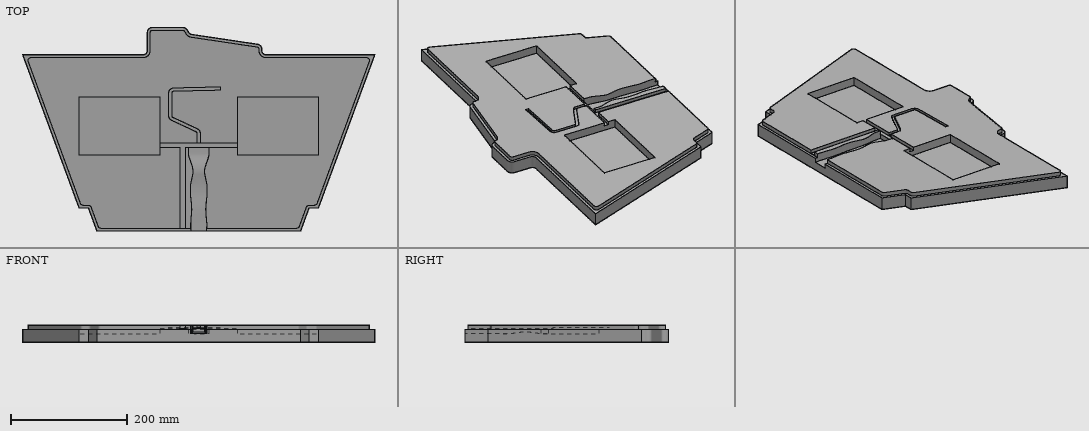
import cadquery as cq
import math

TRAY_WIDTH = 605.0
TRAY_DEPTH = 350.0
TRAY_HEIGHT = 29.5
SHOULDER_Y = 303.0
FRONT_HALF_WIDTH = 175.0
NOTCH_Y = 39.5
SIDE_ANGLE = 20.2

BUMP_LEFT_X = -88.5
BUMP_RIGHT_X = 108.5
BUMP_CREST_X = -22.5
BUMP_DIP = (-15.5, 338.5)
BUMP_RIGHT_Y = 320.0
BUMP_OUTER_RADIUS = 9.0
BUMP_INNER_RADIUS = 7.0

LIP_INSET = 5.0
LIP_HEIGHT = 7.0
LEDGE_Z = TRAY_HEIGHT - LIP_HEIGHT
DECK_CORNER_RADIUS = 5.0
ROW_TOLERANCE = 0.1

POCKET_WIDTH = 139.0
POCKET_LENGTH = 100.0
POCKET_DEPTH = 15.0
POCKET_INNER_X = 66.5
POCKET_FRONT_Y = 130.5

CHANNEL_DEPTH = 6.0
CROSSBAR_FRONT_Y = 143.5
CROSSBAR_WIDTH = 7.5
STEM_CENTRE_X = -27.5
STEM_WIDTH = 9.5

GROOVE_WIDTH = 5.5
GROOVE_DEPTH = 4.0
GROOVE_LEFT_X = -49.0
GROOVE_TIP = (37.5, 245.0)
GROOVE_CORNER_Y = 243.0
GROOVE_ELBOW_Y = 194.5
GROOVE_SLOPE_ANGLE = 25.0
GROOVE_BEND_RADIUS = 6.0

SLOT_DEPTH = 14.5
SLOT_SIDE_MARGIN = 5.0
SLOT_STATIONS = [
    (CROSSBAR_FRONT_Y, 17.5, 0.0),
    (130.5, 17.4, 0.0),
    (105.0, 10.0, 3.0),
    (82.0, 13.7, 0.4),
    (57.0, 13.7, 0.0),
    (36.0, 12.0, 0.6),
    (16.0, 13.7, 0.0),
    (0.0, 13.7, 0.0),
]


def block(x_min, x_max, y_min, y_max, floor_z):
    """Cutting block from floor_z up to the top of the tray."""
    size = (x_max - x_min, y_max - y_min, TRAY_HEIGHT - floor_z)
    return cq.Workplane("XY").box(*size, centered=False).translate((x_min, y_min, floor_z))


def round_corners(wire, corners, radius):
    """Round the vertices of a flat wire that lie on the given points."""
    picked = []
    for x, y in corners:
        spot = cq.Vector(x, y, 0)
        picked.append(min(wire.Vertices(), key=lambda v: (v.Center() - spot).Length))
    return wire.fillet2D(radius, picked)


def tray_outline():
    """Closed outline of the tray with the rear bump rounded."""
    lean = math.tan(math.radians(SIDE_ANGLE))
    notch_inner_x = FRONT_HALF_WIDTH + NOTCH_Y * lean
    notch_outer_x = TRAY_WIDTH / 2 - (SHOULDER_Y - NOTCH_Y) * lean
    right_side = [
        (FRONT_HALF_WIDTH, 0),
        (notch_inner_x, NOTCH_Y),
        (notch_outer_x, NOTCH_Y),
        (TRAY_WIDTH / 2, SHOULDER_Y),
    ]
    left_side = [(-x, y) for x, y in reversed(right_side)]
    outer_corners = [
        (BUMP_RIGHT_X, BUMP_RIGHT_Y),
        (BUMP_CREST_X, TRAY_DEPTH),
        (BUMP_LEFT_X, TRAY_DEPTH),
    ]
    inner_corners = [(BUMP_RIGHT_X, SHOULDER_Y), BUMP_DIP, (BUMP_LEFT_X, SHOULDER_Y)]
    bump = [inner_corners[0], outer_corners[0], inner_corners[1]]
    bump += [outer_corners[1], outer_corners[2], inner_corners[2]]

    wire = cq.Workplane("XY").polyline(right_side + bump + left_side).close().val()
    wire = round_corners(wire, outer_corners, BUMP_OUTER_RADIUS)
    return round_corners(wire, inner_corners, BUMP_INNER_RADIUS)


def round_deck_corner(deck, y, outermost):
    """Round the outermost upright deck edge at the given Y."""
    row = cq.selectors.BoxSelector(
        (-TRAY_WIDTH, y - ROW_TOLERANCE, 0),
        (TRAY_WIDTH, y + ROW_TOLERANCE, LIP_HEIGHT),
    )
    return deck.edges("|Z").edges(row).edges(outermost).fillet(DECK_CORNER_RADIUS)


def make_tray():
    """Base plate with the inset deck standing on it."""
    outline = tray_outline()
    base = cq.Workplane("XY").add(outline).toPending().extrude(LEDGE_Z)
    deck = cq.Workplane("XY").add(outline).toPending().offset2D(-LIP_INSET).extrude(LIP_HEIGHT)
    for y in (LIP_INSET, NOTCH_Y + LIP_INSET, SHOULDER_Y - LIP_INSET):
        for outermost in ("<X", ">X"):
            deck = round_deck_corner(deck, y, outermost)
    return base.union(deck.translate((0, 0, LEDGE_Z)))


def make_pockets():
    floor_z = TRAY_HEIGHT - POCKET_DEPTH
    right = block(
        POCKET_INNER_X,
        POCKET_INNER_X + POCKET_WIDTH,
        POCKET_FRONT_Y,
        POCKET_FRONT_Y + POCKET_LENGTH,
        floor_z,
    )
    return right.union(right.mirror("YZ"))


def make_channel():
    floor_z = TRAY_HEIGHT - CHANNEL_DEPTH
    crossbar_rear_y = CROSSBAR_FRONT_Y + CROSSBAR_WIDTH
    crossbar = block(-POCKET_INNER_X, POCKET_INNER_X, CROSSBAR_FRONT_Y, crossbar_rear_y, floor_z)
    stem_left_x = STEM_CENTRE_X - STEM_WIDTH / 2
    stem = block(stem_left_x, stem_left_x + STEM_WIDTH, 0, crossbar_rear_y, floor_z)
    return crossbar.union(stem)


def make_groove():
    """Square-bottomed groove swept from the channel crossbar round to its tip."""
    slope_rise = -GROOVE_LEFT_X * math.tan(math.radians(GROOVE_SLOPE_ANGLE))
    bends = [
        (0, GROOVE_ELBOW_Y - slope_rise),
        (GROOVE_LEFT_X, GROOVE_ELBOW_Y),
        (GROOVE_LEFT_X, GROOVE_CORNER_Y),
    ]
    path = cq.Workplane("XY").polyline([(0, CROSSBAR_FRONT_Y)] + bends + [GROOVE_TIP]).wire().val()
    path = path.fillet(GROOVE_BEND_RADIUS, path.Vertices()[1:-1])
    section = cq.Workplane("XZ", origin=(0, CROSSBAR_FRONT_Y, 0)).rect(GROOVE_WIDTH, 2 * GROOVE_DEPTH)
    groove = section.sweep(cq.Workplane("XY").add(path))
    return groove.translate((0, 0, TRAY_HEIGHT))


def make_slot():
    """Slot whose walls and floor both swell and narrow along Y."""
    half_reach = max(half_width for _, half_width, _ in SLOT_STATIONS) + SLOT_SIDE_MARGIN
    floor_z = TRAY_HEIGHT - SLOT_DEPTH

    right_wall = [(half_width, y) for y, half_width, _ in SLOT_STATIONS]
    left_wall = [(-x, y) for x, y in reversed(right_wall)]
    rearward = (0, 1)
    forward = (0, -1)
    plan = (
        cq.Workplane("XY")
        .moveTo(*right_wall[0])
        .spline(right_wall[1:], tangents=[forward, forward], includeCurrent=True)
        .lineTo(*left_wall[0])
        .spline(left_wall[1:], tangents=[rearward, rearward], includeCurrent=True)
        .close()
        .extrude(TRAY_HEIGHT)
    )

    floor = [(y, floor_z + rise) for y, _, rise in SLOT_STATIONS]
    side_profile = (
        cq.Workplane("YZ", origin=(-half_reach, 0, 0))
        .moveTo(*floor[0])
        .spline(floor[1:], tangents=[(-1, 0), (-1, 0)], includeCurrent=True)
        .lineTo(0, TRAY_HEIGHT)
        .lineTo(CROSSBAR_FRONT_Y, TRAY_HEIGHT)
        .close()
        .extrude(2 * half_reach)
    )
    return plan.intersect(side_profile)


result = make_tray()
for cutter in (make_pockets(), make_channel(), make_groove(), make_slot()):
    result = result.cut(cutter)